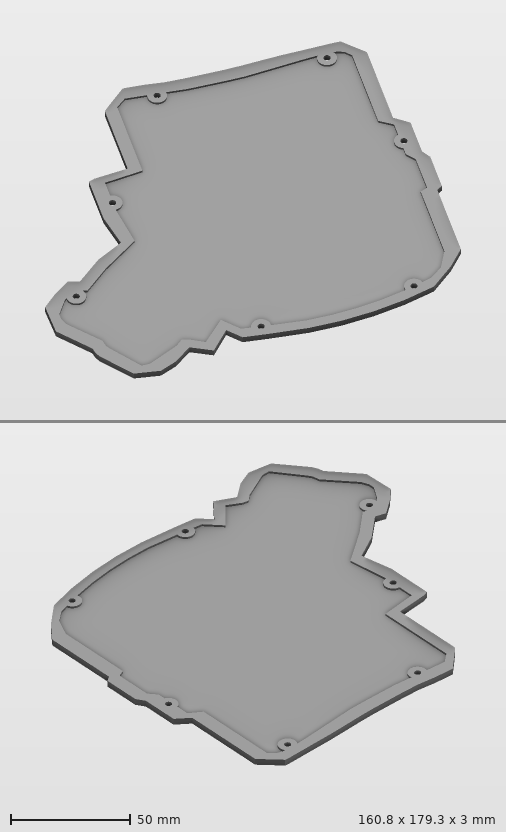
import cadquery as cq

LENGTH_X = 160.84
LENGTH_Y = 179.32
PLATE_THICKNESS = 3.0
RECESS_DEPTH = 1.0
SCREW_HOLE_DIAMETER = 3.0
BOSS_DIAMETER = 8.4

X_LEFT = -LENGTH_X / 2
X_RIGHT = LENGTH_X / 2
Y_BACK = LENGTH_Y / 2
Y_FRONT = -LENGTH_Y / 2

Y_LEFT_SHOULDER = 80.9
Y_BACK_SHOULDER = 87.2
Y_LEFT_FOOT = -34.2
Y_MIDDLE_FOOT = -51.9

Y_RECESS_BACK = 83.4
Y_RECESS_BACK_SHOULDER = 80.2
Y_RECESS_LEFT_SHOULDER = 74.4
Y_RECESS_LEFT_FOOT = -28.6
Y_RECESS_MIDDLE_FOOT = -45.6

SCREW_POINTS = [
    (-72.9, 63.9),
    (-18.1, 81.6),
    (63.2, 62.4),
    (67.6, -5.7),
    (29.4, -75.4),
    (-18.0, -45.8),
    (-72.0, -10.6),
]


def outer_outline():
    """Clockwise outer edge, from the top of the left side."""
    back_edge = [
        (-80.3, 72.0),
        (-71.4, Y_LEFT_SHOULDER),
        (-32.1, Y_LEFT_SHOULDER),
        (-27.4, Y_BACK_SHOULDER),
        (-10.1, Y_BACK_SHOULDER),
        (-6.2, Y_BACK),
        (11.2, Y_BACK),
        (12.9, Y_BACK_SHOULDER),
        (48.3, Y_BACK_SHOULDER),
        (56.7, 80.4),
        (65.9, 70.3),
    ]
    right_bow_middle = (72.4, 43.0)
    right_bow_end = (74.1, 13.4)
    thumb_edge = [
        (72.6, -4.5),
        (71.5, -14.9),
        (65.6, -20.4),
        (75.4, -28.6),
        (70.8, -38.0),
        (77.0, -45.6),
        (X_RIGHT, -53.2),
        (78.8, -64.6),
        (65.3, -75.6),
        (62.7, -76.8),
        (60.2, -77.2),
        (46.4, -89.2),
        (31.7, Y_FRONT),
        (26.0, -83.9),
        (20.3, -76.6),
        (21.7, -71.6),
        (11.8, -60.7),
        (5.0, -48.8),
    ]
    front_edge = [
        (-10.4, Y_MIDDLE_FOOT),
        (-32.4, Y_MIDDLE_FOOT),
        (-33.4, -49.3),
        (-35.1, Y_LEFT_FOOT),
        (-69.5, Y_LEFT_FOOT),
        (-72.0, -31.7),
        (-79.9, -23.4),
    ]
    left_edge = [
        (-79.4, -14.1),
        (-78.4, -5.3),
        (-78.2, 2.8),
        (-78.3, 20.4),
        (-78.6, 28.0),
        (-79.2, 37.4),
        (-79.7, 46.2),
        (-79.9, 53.7),
        (X_LEFT, 69.5),
    ]
    return (
        cq.Workplane("XY")
        .polyline(back_edge)
        .threePointArc(right_bow_middle, right_bow_end)
        .polyline(thumb_edge + front_edge + left_edge, includeCurrent=True)
        .close()
    )


def recess_outline():
    """Clockwise recess edge, before the screw bosses interrupt it."""
    back_edge = [
        (-75.2, 68.6),
        (-74.2, 71.8),
        (-71.4, Y_RECESS_LEFT_SHOULDER),
        (-32.1, Y_RECESS_LEFT_SHOULDER),
        (-28.3, Y_RECESS_BACK_SHOULDER),
        (-10.5, Y_RECESS_BACK_SHOULDER),
        (-6.6, Y_RECESS_BACK),
        (10.5, Y_RECESS_BACK),
        (11.9, Y_RECESS_BACK_SHOULDER),
        (47.6, Y_RECESS_BACK_SHOULDER),
        (56.1, 76.2),
        (60.5, 70.9),
    ]
    right_bow_middle = (67.7, 43.0)
    right_bow_end = (69.6, 13.4)
    thumb_edge = [
        (67.8, -4.5),
        (66.5, -14.2),
        (59.3, -20.9),
        (69.8, -30.5),
        (66.3, -37.0),
        (65.7, -39.9),
        (68.4, -42.9),
        (75.2, -56.4),
        (75.3, -60.2),
        (62.1, -70.2),
        (60.3, -71.3),
        (56.9, -72.0),
        (43.7, -83.7),
        (40.2, -85.1),
        (37.3, -85.1),
        (30.3, -80.7),
        (26.0, -76.0),
        (27.6, -70.0),
        (17.5, -59.0),
        (5.6, -43.0),
    ]
    front_edge = [
        (-13.5, Y_RECESS_MIDDLE_FOOT),
        (-29.9, Y_RECESS_MIDDLE_FOOT),
        (-32.2, Y_RECESS_LEFT_FOOT),
        (-70.2, Y_RECESS_LEFT_FOOT),
        (-74.0, -24.2),
    ]
    left_edge = [
        (-73.3, -14.1),
        (-72.0, 2.8),
        (-72.0, 20.4),
        (-72.2, 28.0),
        (-74.7, 53.7),
        (-75.2, 60.0),
    ]
    return (
        cq.Workplane("XY")
        .workplane(offset=PLATE_THICKNESS - RECESS_DEPTH)
        .polyline(back_edge)
        .threePointArc(right_bow_middle, right_bow_end)
        .polyline(thumb_edge + front_edge + left_edge, includeCurrent=True)
        .close()
    )


def screw_cylinders(diameter):
    """Full-height cylinders at every screw position."""
    return cq.Workplane("XY").pushPoints(SCREW_POINTS).circle(diameter / 2).extrude(PLATE_THICKNESS)


plate = outer_outline().extrude(PLATE_THICKNESS)

recess = recess_outline().extrude(RECESS_DEPTH).cut(screw_cylinders(BOSS_DIAMETER))

result = plate.cut(recess).cut(screw_cylinders(SCREW_HOLE_DIAMETER))